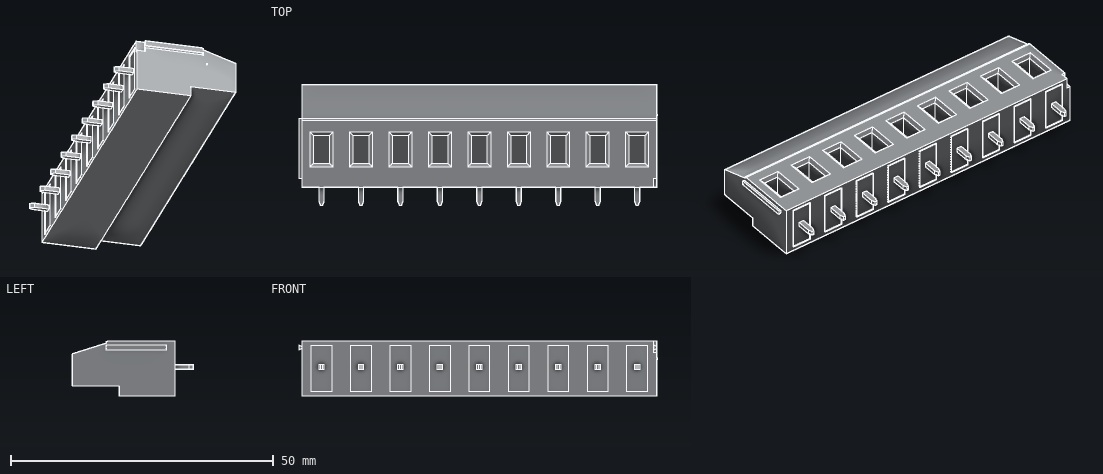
import cadquery as cq


poles = 9
pitch = 7.5

length = poles * pitch
depth = 19.55
height = 10.5
foot_depth = 10.6
foot_height = 1.9
rear_top = 8.05
rear_rounding = 0.3
lower_rounding = 0.2

lip_depth = 1.65
band_rear = 13.1
step_bottom = 10.1
bevel_depth = 0.4
bevel_drop = 0.15

entry_length_x = 4.35
entry_length_y = 6.6
entry_rear = 10.5
funnel_inset = 0.7
funnel_depth = 0.6
entry_floor = 2.7

panel_width = 3.95
panel_height = 8.8
panel_depth = 0.2

pin_width = 1.0
pin_height = 0.9
pin_length = 3.5
pin_centre = 5.5
tip_length = 0.8
tip_width = 0.4

dovetail_drop = 0.8
dovetail_root = 0.5
dovetail_flare = 0.2
dovetail_reach = 0.55
notch_width = 0.7
notch_height = 2.25

boss_diameter = 0.2
boss_reach = 0.15
boss_y = 13.75
boss_z = 7.1

left_end = -length / 2
right_end = length / 2
pole_positions = [(i - (poles - 1) / 2) * pitch for i in range(poles)]


def make_housing():
    """Extrude the side profile along the full length and round its rear edges."""
    profile = [
        (0, 0),
        (foot_depth, 0),
        (foot_depth, foot_height),
        (depth, foot_height),
        (depth, rear_top),
        (band_rear, step_bottom),
        (band_rear, height - bevel_drop),
        (band_rear - bevel_depth, height),
        (0, height),
    ]
    housing = cq.Workplane("YZ", origin=(left_end, 0, 0)).polyline(profile).close().extrude(length)
    upper_rear_edge = cq.selectors.NearestToPointSelector((0, depth, rear_top))
    lower_rear_edge = cq.selectors.NearestToPointSelector((0, depth, foot_height))
    housing = housing.edges(upper_rear_edge).fillet(rear_rounding)
    return housing.edges(lower_rear_edge).fillet(lower_rounding)


def make_entry(x):
    """Tapered funnel leading into a straight rectangular shaft."""
    inner_x = entry_length_x - 2 * funnel_inset
    inner_y = entry_length_y - 2 * funnel_inset
    funnel_bottom = height - funnel_depth
    mouth = cq.Workplane("XY", origin=(x, entry_rear - entry_length_y / 2, height))
    funnel = (
        mouth.rect(entry_length_x, entry_length_y)
        .workplane(offset=-funnel_depth)
        .rect(inner_x, inner_y)
        .loft(ruled=True)
    )
    shaft = mouth.workplane(offset=-funnel_depth).rect(inner_x, inner_y).extrude(entry_floor - funnel_bottom)
    return funnel.union(shaft)


def make_panel(x):
    """Shallow recess around one pin."""
    return cq.Workplane("XY").box(panel_width, 2 * panel_depth, panel_height).translate((x, 0, height / 2))


def make_pin(x):
    """Flat pin with a tip narrowed from both sides, rooted in its panel."""
    shoulder = tip_length - pin_length
    outline = [
        (-pin_width / 2, panel_depth),
        (-pin_width / 2, shoulder),
        (-tip_width / 2, -pin_length),
        (tip_width / 2, -pin_length),
        (pin_width / 2, shoulder),
        (pin_width / 2, panel_depth),
    ]
    base = cq.Workplane("XY", origin=(x, 0, pin_centre - pin_height / 2))
    return base.polyline(outline).close().extrude(pin_height)


def make_dovetail(end_x):
    """Bar that widens away from its root at end_x, running along Y behind the lip."""
    outer_top = height - dovetail_drop
    outer_bottom = outer_top - dovetail_root - 2 * dovetail_flare
    section = [
        (end_x, outer_top - dovetail_flare),
        (end_x - dovetail_reach, outer_top),
        (end_x - dovetail_reach, outer_bottom),
        (end_x, outer_bottom + dovetail_flare),
    ]
    bar = cq.Workplane("XZ", origin=(0, band_rear, 0)).polyline(section).close()
    return bar.extrude(band_rear - lip_depth)


def make_notch():
    """Cut through the lip that opens the front of the groove."""
    block = cq.Workplane("XY").box(notch_width, lip_depth, notch_height, centered=False)
    return block.translate((right_end - notch_width, 0, height - notch_height))


result = make_housing()
for pole_x in pole_positions:
    result = result.cut(make_entry(pole_x)).cut(make_panel(pole_x)).union(make_pin(pole_x))

result = result.union(make_dovetail(left_end))
result = result.cut(make_dovetail(right_end)).cut(make_notch())

boss = cq.Workplane("YZ", origin=(right_end, boss_y, boss_z)).circle(boss_diameter / 2).extrude(boss_reach)
result = result.union(boss)